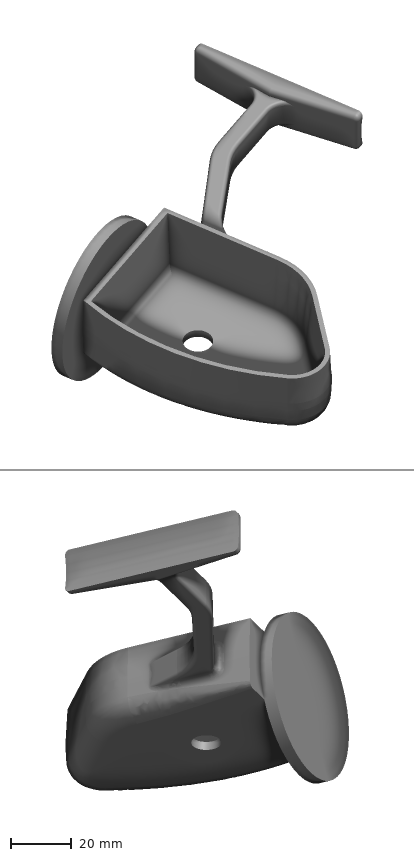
import cadquery as cq
import math


disc_radius = 28.45
disc_thickness = 4.2

span = 200.0
cup_overrun = 10.0
cup_half_height = 12.7
cup_back_y = 36.5
cup_draft = 3.0
cup_corner = (56.9, cup_back_y)
cup_corner_radius = 26.5
cup_slant_angle = 49.3
cup_tip_radius = 13.15
belly_radius = 102.5
belly_centre = (33.6, 81.1)
blank_thickness = 1.0
level_margin = 1.0
belt_radius = 33.0
bottom_round_start = 2.0
bottom_round_tip = 7.0

rim_inset = 2.3
cavity_draft = 6.0
floor_thickness = 3.0
floor_fillet = 2.5
drain_centre = (30.1, 7.7)
drain_diameter = 10.0

arm_half_height = 5.3
arm_left_x = -5.15
arm_right_x = 1.45
arm_left_bend_y = 74.0
arm_right_bend_y = 76.2
arm_lean = 25.7
arm_bend_radius = 20.0
arm_heel = (16.5, 43.5)
arm_toe = (35.0, 36.9)
arm_edge_fillet = 1.3
arm_root_depth = 4.0
arm_root_left_x = 8.0
arm_root_right_x = 39.0
wall_band = 0.6
arm_bury = 3.0
arm_root_fillet = 2.3
flare_radius = 7.0

bar_back_y = 112.17
bar_centre_x = -1.6
bar_half_length = 31.7
bar_half_height = 7.75
bar_end_thickness = 3.4
bar_middle_thickness = 7.5
bar_edge_fillet = 1.8
bar_hollow_depth = 1.2


def belly_y(x):
    """Y of the belly arc at a given x."""
    return belly_centre[1] - math.sqrt(belly_radius**2 - (x - belly_centre[0]) ** 2)


def tip_point():
    """Sharp corner where the slanted side meets the belly arc."""
    ux = math.cos(math.radians(cup_slant_angle))
    uy = -math.sin(math.radians(cup_slant_angle))
    dx = cup_corner[0] - belly_centre[0]
    dy = cup_corner[1] - belly_centre[1]
    along = dx * ux + dy * uy
    reach = -along + math.sqrt(along**2 - dx**2 - dy**2 + belly_radius**2)
    return (cup_corner[0] + reach * ux, cup_corner[1] + reach * uy)


def cup_outline(left_x):
    """Cup outline at its widest level, cut off square at left_x."""
    tip = tip_point()
    belly_low = (belly_centre[0], belly_centre[1] - belly_radius)
    nearest = cq.selectors.NearestToPointSelector
    blank = (
        cq.Workplane("XY")
        .moveTo(left_x, cup_back_y)
        .lineTo(*cup_corner)
        .lineTo(*tip)
        .threePointArc(belly_low, (left_x, belly_y(left_x)))
        .close()
        .extrude(blank_thickness)
    )
    blank = blank.edges(nearest((*cup_corner, blank_thickness / 2))).fillet(cup_corner_radius)
    blank = blank.edges(nearest((*tip, blank_thickness / 2))).fillet(cup_tip_radius)
    return blank.faces("<Z").wires().val()


def bottom_round_radius(point):
    """Fillet radius at a bottom corner: small at the disc face, full size everywhere else."""
    return bottom_round_start if point.x < bottom_round_start else bottom_round_tip


def round_bottom(cup):
    """Round the bottom edge all around except along the disc face."""
    rounding = cq.occ_impl.shapes.BRepFilletAPI_MakeFillet(cup.val().wrapped)
    for edge in cup.faces("<Z").edges("not <X").vals():
        start_radius = bottom_round_radius(edge.startPoint())
        end_radius = bottom_round_radius(edge.endPoint())
        rounding.Add(start_radius, end_radius, edge.wrapped)
    return cq.Workplane(cq.Shape.cast(rounding.Shape()))


def half_space():
    """Everything on the cup side of the disc."""
    return cq.Workplane("YZ").rect(span, span).extrude(span)


def draft_from_middle(outline, height):
    """Solid that narrows from the widest level to the given height."""
    return cq.Workplane("XY").add(outline).toPending().extrude(height, taper=cup_draft)


def make_cup():
    """Solid cup body: drafted both ways from a soft belt, flat on the disc side."""
    outline = cup_outline(-cup_overrun)
    upper = draft_from_middle(outline, cup_half_height)
    lower = draft_from_middle(outline, -cup_half_height)
    cup = upper.union(lower).intersect(half_space())
    mid_level = cq.selectors.BoxSelector(
        (level_margin, -span, -level_margin), (span, span, level_margin)
    )
    belt = cup.edges(mid_level)
    return round_bottom(belt.fillet(belt_radius))


def make_cavity():
    """Drafted pocket with a rounded floor edge, mitred at the two disc-side corners."""
    floor_z = floor_thickness - cup_half_height
    opening = cup_outline(-cup_overrun).offset2D(-rim_inset)[0]
    pocket = (
        cq.Workplane("XY")
        .add(opening)
        .toPending()
        .extrude(floor_z - cup_half_height, taper=cavity_draft)
        .translate((0, 0, cup_half_height))
        .intersect(half_space())
    )
    pocket = pocket.faces("<Z").edges("not <X").fillet(floor_fillet)
    lean_in = (cup_half_height - floor_z) * math.tan(math.radians(cavity_draft))
    disc_side = (
        cq.Workplane("XZ")
        .moveTo(rim_inset, cup_half_height)
        .lineTo(rim_inset + lean_in, floor_z)
        .lineTo(span, floor_z)
        .lineTo(span, cup_half_height)
        .close()
        .extrude(span, both=True)
    )
    corner = cq.selectors.NearestToPointSelector((rim_inset + lean_in, 0, floor_z))
    return pocket.intersect(disc_side.edges(corner).fillet(floor_fillet))


def make_drain():
    """Round hole through the cup floor."""
    return (
        cq.Workplane("XY", origin=(*drain_centre, -cup_half_height))
        .circle(drain_diameter / 2)
        .extrude(cup_half_height)
    )


def make_disc():
    """Flat disc closing the side of the cup."""
    return cq.Workplane("YZ").circle(disc_radius).extrude(-disc_thickness)


def make_crossbar():
    """Shallow triangular bar, hollowed along its back."""
    left_x = bar_centre_x - bar_half_length
    right_x = bar_centre_x + bar_half_length
    end_y = bar_back_y - bar_end_thickness
    bar = (
        cq.Workplane("XY")
        .moveTo(left_x, bar_back_y)
        .lineTo(left_x, end_y)
        .lineTo(bar_centre_x, bar_back_y - bar_middle_thickness)
        .lineTo(right_x, end_y)
        .lineTo(right_x, bar_back_y)
        .close()
        .extrude(bar_half_height, both=True)
    )
    for end_x in (left_x, right_x):
        end_corner = cq.selectors.NearestToPointSelector((end_x, end_y, 0))
        bar = bar.edges(end_corner).fillet(bar_edge_fillet)
    bar = bar.faces("<Z or >Z").edges("not >Y").fillet(bar_edge_fillet)
    hollow = (
        cq.Workplane("YZ", origin=(left_x, 0, 0))
        .moveTo(bar_back_y, bar_half_height)
        .threePointArc((bar_back_y - bar_hollow_depth, 0), (bar_back_y, -bar_half_height))
        .close()
        .extrude(2 * bar_half_length)
    )
    return bar.cut(hollow)


def make_arm():
    """Cranked arm with flares at the crossbar and a heel at the cup."""
    slope = math.atan2(bar_middle_thickness - bar_end_thickness, bar_half_length)
    lean = math.tan(math.radians(arm_lean))
    apex_y = bar_back_y - bar_middle_thickness
    flare_reach = flare_radius * math.tan((math.pi / 2 - slope) / 2)

    def flare(x, side):
        """Start and end of the flare arc, and a point buried in the bar."""
        corner_y = apex_y + abs(x - bar_centre_x) * math.tan(slope)
        start = (x, corner_y - flare_reach)
        end = (
            x + side * flare_reach * math.cos(slope),
            corner_y + flare_reach * math.sin(slope),
        )
        buried = (end[0] - side * arm_bury * math.sin(slope), end[1] + arm_bury * math.cos(slope))
        return start, end, buried

    left_start, left_end, left_buried = flare(arm_left_x, -1)
    right_start, right_end, right_buried = flare(arm_right_x, 1)
    root_y = cup_back_y - arm_root_depth
    toe_slope = (arm_heel[1] - arm_toe[1]) / (arm_toe[0] - arm_heel[0])
    toe_end_x = arm_toe[0] + (arm_toe[1] - root_y) / toe_slope
    root_x = arm_left_x + (arm_left_bend_y - root_y) * lean
    left_bend = (arm_left_x, arm_left_bend_y)
    right_bend = (arm_right_x, arm_right_bend_y)
    arm = (
        cq.Workplane("XY")
        .moveTo(root_x, root_y)
        .lineTo(*left_bend)
        .lineTo(*left_start)
        .radiusArc(left_end, -flare_radius)
        .lineTo(*left_buried)
        .lineTo(*right_buried)
        .lineTo(*right_end)
        .radiusArc(right_start, -flare_radius)
        .lineTo(*right_bend)
        .lineTo(*arm_heel)
        .lineTo(toe_end_x, root_y)
        .close()
        .extrude(arm_half_height, both=True)
    )
    nearest = cq.selectors.NearestToPointSelector
    for corner in (left_bend, right_bend, arm_heel):
        arm = arm.edges(nearest((*corner, 0))).fillet(arm_bend_radius)
    return arm.faces("<Z or >Z").edges().fillet(arm_edge_fillet)


def join_arm(cup, arm):
    """Cup and arm together, with a fillet all around the root of the arm."""
    joined = cup.union(arm)
    root = cq.selectors.BoxSelector(
        (arm_root_left_x, cup_back_y - wall_band, -cup_half_height / 2),
        (arm_root_right_x, cup_back_y + wall_band, cup_half_height / 2),
    )
    return joined.edges(root).fillet(arm_root_fillet)


result = (
    join_arm(make_cup(), make_arm())
    .union(make_disc())
    .union(make_crossbar())
    .cut(make_cavity())
    .cut(make_drain())
)